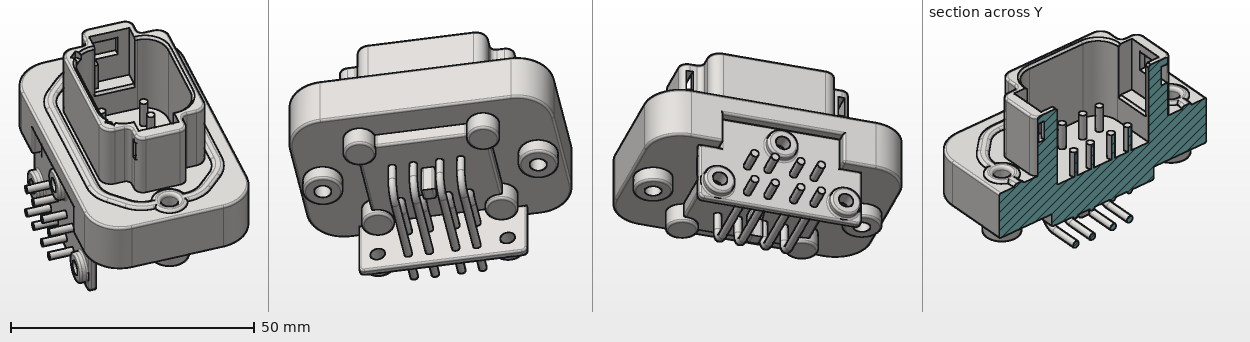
import cadquery as cq
import math

OVERLAP = 0.55

FLANGE_LENGTH = 55.1
FLANGE_WIDTH = 35.3
FLANGE_HEIGHT = 11.25
FLANGE_CORNER_RADIUS = 7.65
EDGE_RADIUS = 0.5

BOLT_X = 22.5
BOLT_HOLE_RADIUS = 1.75
BOLT_RING_RADIUS = 3.8
BOLT_BOSS_RADIUS = 4.1
REAR_BODY_DROP = 3.15

RIDGE_HEIGHT = 0.55
RIDGE_HALF_WIDTH = 1.3
RIDGE_ROUND = 0.8
RIDGE_PATH_HALF_WIDTH = 13.4
RIDGE_CUT_X = 15.65
RIDGE_BEND_RADIUS = 6.6

SHROUD_HEIGHT = 14.7
SHROUD_HALF_LENGTH = 13.6
SHROUD_HALF_WIDTH = 11.4
SHROUD_CORNER_RADIUS = 2.6
WING_TIP_X = 18.25
WING_HALF_WIDTH = 5.55
WING_CORNER_RADIUS = 1.9
WING_ROOT_RADIUS = 1.2

CAVITY_HALF_LENGTH = 12.1
CAVITY_HALF_WIDTH = 9.85
CAVITY_CORNER_RADIUS = 5.0
CAVITY_FLOOR_Z = -4.4
LEAD_IN = 0.55
WING_CAVITY_X = 15.65
WING_CAVITY_HALF_WIDTH = 4.35
WING_FLOOR_Z = 2.05

LATCH_SLOT_DEPTH = 1.4
LATCH_SLOT_BOTTOM_Z = 8.25
LATCH_SLOT_TOP_Z = 12.8
LATCH_SLOT_END_Y = 1.9
KEY_LENGTH = 1.95
KEY_WIDTH = 1.3
KEY_NOTCH_WIDTH = 2.1
KEY_NOTCH_REACH = 6.25
KEY_NOTCH_DEPTH = 1.65

REAR_BODY_CORNER_RADIUS = 4.4
POST_X = 12.9
POST_Y = 10.65
POST_RADIUS = 3.35
POST_DROP = 4.2
RIB_LENGTH = 2.75
RIB_FRONT_Y = 0.5
RIB_BACK_Y = 3.25
RIB_BOTTOM_Z = -20.65
RIB_GUSSET = 2.0

PLATE_BACK_Y = -14.05
PLATE_THICKNESS = 1.7
PLATE_TOP_Z = -4.4
PLATE_SHOULDER_Z = -11.65
PLATE_BOTTOM_Z = -24.55
PLATE_NECK_HALF_LENGTH = 12.9
PLATE_HALF_LENGTH = 17.55
PLATE_CORNER_RADIUS = 1.1
PLATE_EDGE_RADIUS = 0.45

STANDOFF_HEIGHT = 1.7
STANDOFF_RADIUS = 3.3
STANDOFF_FLARE = 0.4
STANDOFF_HOLE_RADIUS = 1.55
UPPER_STANDOFF_Z = -9.05
LOWER_STANDOFF_X = 13.55
LOWER_STANDOFF_Z = -20.45

PIN_RADIUS = 0.8
PIN_COLUMNS_X = (-7.15, -2.75, 2.75, 7.15)
PIN_ROW_Y = 4.6
PIN_TOP_Z = 1.6
PIN_END_Y = -20.95
PIN_BEND_RADIUS = 3.3
FRONT_ROW_Z = -15.15
BACK_ROW_Z = -21.5

FLANGE_BOTTOM_Z = -FLANGE_HEIGHT
REAR_BODY_BOTTOM_Z = FLANGE_BOTTOM_Z - REAR_BODY_DROP
PLATE_FRONT_Y = PLATE_BACK_Y - PLATE_THICKNESS
BOTH_BOLTS = [(-BOLT_X, 0), (BOLT_X, 0)]
STANDOFFS = [
    (0, UPPER_STANDOFF_Z),
    (-LOWER_STANDOFF_X, LOWER_STANDOFF_Z),
    (LOWER_STANDOFF_X, LOWER_STANDOFF_Z),
]


def rounded_block(half_length, half_width, bottom_z, top_z, corner_radius):
    """Upright block centred on the Z axis with rounded vertical edges."""
    height = top_z - bottom_z
    block = cq.Workplane("XY").workplane(offset=bottom_z).rect(2 * half_length, 2 * half_width)
    return block.extrude(height).edges("|Z").fillet(corner_radius)


def box_between(x_range, y_range, z_range):
    """Box spanning the given pairs of limits."""
    size = [high - low for low, high in (x_range, y_range, z_range)]
    corner = (x_range[0], y_range[0], z_range[0])
    return cq.Workplane("XY").box(*size, centered=False).translate(corner)


def cylinders(points, radius, bottom_z, top_z):
    """Upright cylinders at the given XY points."""
    plane = cq.Workplane("XY").workplane(offset=bottom_z)
    return plane.pushPoints(points).circle(radius).extrude(top_z - bottom_z)


def make_flange():
    flange = rounded_block(
        FLANGE_LENGTH / 2, FLANGE_WIDTH / 2, FLANGE_BOTTOM_Z, 0, FLANGE_CORNER_RADIUS
    )
    flange = flange.faces("<Z or >Z").edges().fillet(EDGE_RADIUS)
    recess = box_between(
        (-PLATE_NECK_HALF_LENGTH, PLATE_NECK_HALF_LENGTH),
        (-FLANGE_WIDTH, PLATE_BACK_Y),
        (-FLANGE_WIDTH, PLATE_TOP_Z),
    )
    flange = flange.cut(recess)
    half_mouth = PLATE_NECK_HALF_LENGTH + 0.5 * EDGE_RADIUS
    mouth = cq.selectors.BoxSelector(
        (-half_mouth, -FLANGE_WIDTH / 2 - EDGE_RADIUS, FLANGE_BOTTOM_Z + 2 * EDGE_RADIUS),
        (half_mouth, -FLANGE_WIDTH / 2 + EDGE_RADIUS, PLATE_TOP_Z + EDGE_RADIUS),
    )
    return flange.edges(mouth).fillet(EDGE_RADIUS)


def ridge_outline(offset):
    """Octagon with rounded corners, grown by offset from the ridge centre line."""
    half_length = BOLT_X + offset
    half_width = RIDGE_PATH_HALF_WIDTH + offset
    corner_shift = offset * math.tan(math.pi / 8)
    cut_x = RIDGE_CUT_X + corner_shift
    cut_y = half_width - (half_length - cut_x)
    quarter = [(half_length, cut_y), (cut_x, half_width)]
    points = quarter + [(-x, y) for x, y in reversed(quarter)]
    points += [(-x, -y) for x, y in points]
    outline = cq.Workplane("XY").workplane(offset=-OVERLAP).polyline(points).close()
    slab = outline.extrude(RIDGE_HEIGHT + OVERLAP)
    return slab.edges("|Z").fillet(RIDGE_BEND_RADIUS + offset)


def add_seal_ridge(flange):
    """Flange with the seal ridge and, interrupting it, a rounded ring at each bolt hole."""
    ridge = ridge_outline(RIDGE_HALF_WIDTH).cut(ridge_outline(-RIDGE_HALF_WIDTH))
    ridge = ridge.faces(">Z").edges().fillet(RIDGE_ROUND)
    seats = cylinders(BOTH_BOLTS, BOLT_RING_RADIUS - RIDGE_ROUND, -OVERLAP, RIDGE_HEIGHT)
    rings = cylinders(BOTH_BOLTS, BOLT_RING_RADIUS, -OVERLAP, RIDGE_HEIGHT)
    rings = rings.cut(cylinders(BOTH_BOLTS, BOLT_HOLE_RADIUS, -OVERLAP, RIDGE_HEIGHT))
    rings = rings.faces(">Z").edges().fillet(RIDGE_ROUND)
    return flange.union(ridge).cut(seats).union(rings)


def make_shroud():
    body = rounded_block(
        SHROUD_HALF_LENGTH, SHROUD_HALF_WIDTH, -OVERLAP, SHROUD_HEIGHT, SHROUD_CORNER_RADIUS
    )
    wings = rounded_block(
        WING_TIP_X, WING_HALF_WIDTH, -OVERLAP, SHROUD_HEIGHT, WING_CORNER_RADIUS
    )
    shroud = body.union(wings)
    half_root = WING_HALF_WIDTH + EDGE_RADIUS
    for side in (-1, 1):
        root_x = side * SHROUD_HALF_LENGTH
        root = cq.selectors.BoxSelector(
            (root_x - EDGE_RADIUS, -half_root, -FLANGE_HEIGHT),
            (root_x + EDGE_RADIUS, half_root, FLANGE_HEIGHT),
        )
        shroud = shroud.edges("|Z").edges(root).fillet(WING_ROOT_RADIUS)
    return shroud.faces(">Z").edges().fillet(EDGE_RADIUS)


def make_cavity():
    """Volume removed from the shroud, with its flared mouth, two wings and key."""
    mouth_z = SHROUD_HEIGHT - LEAD_IN
    cavity = rounded_block(
        CAVITY_HALF_LENGTH, CAVITY_HALF_WIDTH, CAVITY_FLOOR_Z, mouth_z, CAVITY_CORNER_RADIUS
    )
    cavity = cavity.faces(">Z").wires().toPending().workplane().extrude(LEAD_IN, taper=-45)
    wings = box_between(
        (-WING_CAVITY_X, WING_CAVITY_X),
        (-WING_CAVITY_HALF_WIDTH, WING_CAVITY_HALF_WIDTH),
        (WING_FLOOR_Z, SHROUD_HEIGHT),
    )
    key = box_between(
        (-WING_CAVITY_X, -WING_CAVITY_X + KEY_LENGTH),
        (-WING_CAVITY_HALF_WIDTH, -WING_CAVITY_HALF_WIDTH + KEY_WIDTH),
        (WING_FLOOR_Z, LATCH_SLOT_BOTTOM_Z),
    )
    cavity = cavity.union(wings.cut(key))
    for side in (-1, 1):
        edge = [
            (side * CAVITY_HALF_LENGTH, WING_FLOOR_Z),
            (side * (CAVITY_HALF_LENGTH + LEAD_IN), WING_FLOOR_Z),
            (side * CAVITY_HALF_LENGTH, WING_FLOOR_Z - LEAD_IN),
        ]
        wedge = cq.Workplane("XZ").polyline(edge).close().extrude(WING_CAVITY_HALF_WIDTH, both=True)
        cavity = cavity.union(wedge)
    return cavity


def make_latch_slots():
    slots = cq.Workplane("XY")
    for side in (-1, 1):
        walls = sorted((side * WING_CAVITY_X, side * (WING_CAVITY_X + LATCH_SLOT_DEPTH)))
        slots = slots.union(
            box_between(
                walls,
                (-WING_HALF_WIDTH - OVERLAP, LATCH_SLOT_END_Y),
                (LATCH_SLOT_BOTTOM_Z, LATCH_SLOT_TOP_Z),
            )
        )
    return slots


def make_key_notches():
    """Diagonal notches in the rim at the two front corners of the cavity."""
    notches = cq.Workplane("XY")
    for side, angle in ((-1, 225), (1, 315)):
        notch = box_between(
            (0, KEY_NOTCH_REACH),
            (-KEY_NOTCH_WIDTH / 2, KEY_NOTCH_WIDTH / 2),
            (SHROUD_HEIGHT - KEY_NOTCH_DEPTH, SHROUD_HEIGHT),
        )
        notch = notch.rotate((0, 0, 0), (0, 0, 1), angle)
        corner_x = side * (CAVITY_HALF_LENGTH - CAVITY_CORNER_RADIUS)
        corner_y = CAVITY_CORNER_RADIUS - CAVITY_HALF_WIDTH
        notches = notches.union(notch.translate((corner_x, corner_y, 0)))
    return notches


def make_underside():
    joint_z = FLANGE_BOTTOM_Z + OVERLAP
    rear_body = rounded_block(
        SHROUD_HALF_LENGTH, SHROUD_HALF_WIDTH, REAR_BODY_BOTTOM_Z, joint_z, REAR_BODY_CORNER_RADIUS
    )
    bosses = cylinders(BOTH_BOLTS, BOLT_BOSS_RADIUS, REAR_BODY_BOTTOM_Z, joint_z)
    post_points = [(x, y) for x in (-POST_X, POST_X) for y in (-POST_Y, POST_Y)]
    posts = cylinders(post_points, POST_RADIUS, FLANGE_BOTTOM_Z - POST_DROP, joint_z)
    top_z = REAR_BODY_BOTTOM_Z + 2 * OVERLAP
    profile = [
        (RIB_BACK_Y, top_z),
        (RIB_BACK_Y, RIB_BOTTOM_Z),
        (RIB_FRONT_Y, RIB_BOTTOM_Z),
        (RIB_FRONT_Y, REAR_BODY_BOTTOM_Z - RIB_GUSSET),
        (RIB_FRONT_Y - RIB_GUSSET, REAR_BODY_BOTTOM_Z),
        (RIB_FRONT_Y - RIB_GUSSET, top_z),
    ]
    rib = cq.Workplane("YZ").polyline(profile).close().extrude(RIB_LENGTH / 2, both=True)
    rib = rib.faces("<X or >X").edges().fillet(EDGE_RADIUS)
    underside = rib
    for solid in (rear_body, bosses, posts):
        underside = underside.union(solid.faces("<Z").edges().fillet(EDGE_RADIUS))
    return underside


def make_plate():
    right_half = [
        (PLATE_NECK_HALF_LENGTH, PLATE_TOP_Z),
        (PLATE_NECK_HALF_LENGTH, PLATE_SHOULDER_Z),
        (PLATE_HALF_LENGTH, PLATE_SHOULDER_Z),
        (PLATE_HALF_LENGTH, PLATE_BOTTOM_Z),
    ]
    outline = right_half + [(-x, z) for x, z in reversed(right_half)]
    front = cq.Workplane("XZ", origin=(0, PLATE_BACK_Y, 0))
    plate = front.polyline(outline).close().extrude(PLATE_THICKNESS)
    plate = plate.faces("<Z").edges("|Y").fillet(PLATE_CORNER_RADIUS)
    return plate.faces("<Y or >Y").edges().fillet(PLATE_EDGE_RADIUS)


def make_standoffs():
    """Round stand-offs with a concave flare at the plate and a rounded free end."""
    foot_radius = STANDOFF_RADIUS + STANDOFF_FLARE
    flare_middle = STANDOFF_FLARE * (1 - math.sqrt(0.5))
    end_radius = STANDOFF_RADIUS - EDGE_RADIUS
    standoff = (
        cq.Workplane("XY")
        .moveTo(0, OVERLAP)
        .lineTo(foot_radius, OVERLAP)
        .lineTo(foot_radius, 0)
        .threePointArc((STANDOFF_RADIUS + flare_middle, -flare_middle), (STANDOFF_RADIUS, -STANDOFF_FLARE))
        .lineTo(STANDOFF_RADIUS, EDGE_RADIUS - STANDOFF_HEIGHT)
        .tangentArcPoint((end_radius, -STANDOFF_HEIGHT), relative=False)
        .lineTo(0, -STANDOFF_HEIGHT)
        .close()
        .revolve(360, (0, 0), (0, 1))
    )
    standoffs = cq.Workplane("XY")
    for x, z in STANDOFFS:
        standoffs = standoffs.union(standoff.translate((x, PLATE_FRONT_Y, z)))
    return standoffs


def make_standoff_holes():
    back = cq.Workplane("XZ", origin=(0, PLATE_BACK_Y, 0)).pushPoints(STANDOFFS)
    return back.circle(STANDOFF_HOLE_RADIUS).extrude(PLATE_THICKNESS + STANDOFF_HEIGHT)


def make_pins():
    pins = cq.Workplane("XY")
    for row_y, run_z in ((-PIN_ROW_Y, FRONT_ROW_Z), (PIN_ROW_Y, BACK_ROW_Z)):
        for x in PIN_COLUMNS_X:
            arc_middle = PIN_BEND_RADIUS * (1 - math.sqrt(0.5))
            path = (
                cq.Workplane("YZ", origin=(x, 0, 0))
                .moveTo(row_y, PIN_TOP_Z)
                .lineTo(row_y, run_z + PIN_BEND_RADIUS)
                .threePointArc(
                    (row_y - arc_middle, run_z + arc_middle), (row_y - PIN_BEND_RADIUS, run_z)
                )
                .lineTo(PIN_END_Y, run_z)
            )
            start = cq.Workplane("XY", origin=(x, row_y, PIN_TOP_Z))
            pins = pins.union(start.circle(PIN_RADIUS).sweep(path))
    return pins


def make_bolt_holes():
    return cylinders(BOTH_BOLTS, BOLT_HOLE_RADIUS, REAR_BODY_BOTTOM_Z, RIDGE_HEIGHT)


result = add_seal_ridge(make_flange()).union(make_shroud()).union(make_underside())
result = result.cut(make_cavity()).cut(make_latch_slots()).cut(make_key_notches())
result = result.cut(make_bolt_holes())
result = result.union(make_plate()).union(make_standoffs()).cut(make_standoff_holes())
result = result.union(make_pins())